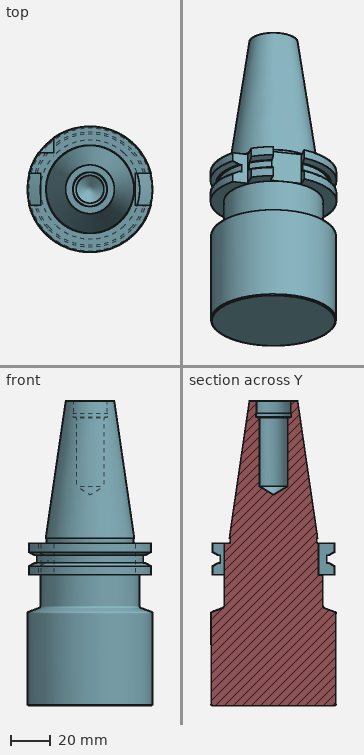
import cadquery as cq
import math

total_height = 153.2
taper_length = 68.3
flange_drop = 3.2
flange_thickness = 16.0
gauge_z = total_height - taper_length
flange_top = gauge_z - flange_drop
flange_bottom = flange_top - flange_thickness
shoulder_bottom = 47.0

gauge_radius = 44.5 / 2
taper_per_length = 7 / 24
tip_radius = gauge_radius - taper_length * taper_per_length / 2
neck_radius = 44.0 / 2
flange_radius = 63.5 / 2
shank_radius = 50.0 / 2
body_radius = 63.0 / 2
shoulder_angle = 20.0
shoulder_top = shoulder_bottom + (body_radius - shank_radius) * math.tan(math.radians(shoulder_angle))

gauge_land = 0.6
neck_fillet = 0.5
shoulder_fillet = 1.0
base_chamfer = 0.6

groove_floor_radius = 28.0
groove_floor_width = 3.8
groove_slope_angle = 30.0
groove_slope_depth = 2.8

slot_width = 16.1
left_slot_floor = 24.8
right_slot_floor = 22.7
notch_x = 18.2
notch_y = 18.2

mouth_radius = 17.0 / 2
mouth_depth = 6.3
relief_radius = 17.5 / 2
relief_depth = 8.1
drill_radius = 14.0 / 2
drill_depth = 42.9
drill_point_angle = 118.0
seat_drop = 0.3


def revolve_profile(points):
    """Turn a closed (radius, height) outline about the Z axis."""
    return cq.Workplane("XZ").polyline(points).close().revolve(360, (0, 0, 0), (0, 1, 0))


def circle_edge(radius, height):
    """Selector for the circular edge of a given radius and height."""
    margin = 0.02
    return cq.selectors.BoxSelector(
        (-radius - margin, -radius - margin, height - margin),
        (radius + margin, radius + margin, height + margin),
        boundingbox=True,
    )


def turned_body():
    body = revolve_profile([
        (0, 0),
        (body_radius, 0),
        (body_radius, shoulder_bottom),
        (shank_radius, shoulder_top),
        (shank_radius, flange_bottom),
        (flange_radius, flange_bottom),
        (flange_radius, flange_top),
        (neck_radius, flange_top),
        (neck_radius, gauge_z - gauge_land),
        (gauge_radius, gauge_z - gauge_land),
        (gauge_radius, gauge_z),
        (tip_radius, total_height),
        (0, total_height),
    ])
    body = body.edges(circle_edge(body_radius, shoulder_bottom)).fillet(shoulder_fillet)
    body = body.edges(circle_edge(shank_radius, shoulder_top)).fillet(shoulder_fillet)
    body = body.edges(circle_edge(neck_radius, flange_top)).fillet(neck_fillet)
    return body.faces("<Z").edges().chamfer(base_chamfer)


def gripper_groove():
    middle = (flange_top + flange_bottom) / 2
    half_floor = groove_floor_width / 2
    half_mouth = half_floor + groove_slope_depth * math.tan(math.radians(groove_slope_angle))
    slope_radius = flange_radius - groove_slope_depth
    return revolve_profile([
        (groove_floor_radius, middle - half_floor),
        (slope_radius, middle - half_floor),
        (flange_radius, middle - half_mouth),
        (flange_radius, middle + half_mouth),
        (slope_radius, middle + half_floor),
        (groove_floor_radius, middle + half_floor),
    ])


def flange_block(x_min, x_max, y_min, y_max):
    """Cutting block that spans the flange thickness."""
    return cq.Workplane("XY").box(
        x_max - x_min, y_max - y_min, flange_thickness, centered=False
    ).translate((x_min, y_min, flange_bottom))


def flange_cuts():
    half_width = slot_width / 2
    left_slot = flange_block(-flange_radius, -left_slot_floor, -half_width, half_width)
    right_slot = flange_block(right_slot_floor, flange_radius, -half_width, half_width)
    notch = flange_block(-flange_radius, -notch_x, notch_y, flange_radius)
    return left_slot.union(right_slot).union(notch)


def stepped_bore():
    point_length = drill_radius / math.tan(math.radians(drill_point_angle / 2))
    return revolve_profile([
        (0, total_height),
        (mouth_radius, total_height),
        (mouth_radius, total_height - mouth_depth),
        (relief_radius, total_height - mouth_depth),
        (relief_radius, total_height - relief_depth),
        (drill_radius, total_height - relief_depth - seat_drop),
        (drill_radius, total_height - drill_depth),
        (0, total_height - drill_depth - point_length),
    ])


result = turned_body().cut(gripper_groove()).cut(flange_cuts()).cut(stepped_bore())